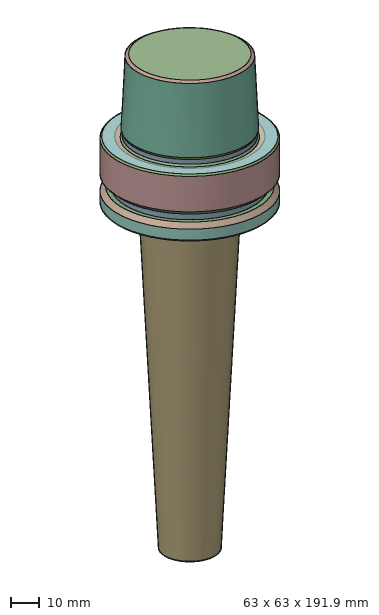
import cadquery as cq
import math


shank_length = 31.9
taper_ratio = 1 / 10
taper_base_radius = 24.15
taper_base_height = 3.1
tip_chamfer_width = 1.3
tip_chamfer_height = 0.7

neck_radius = 23.75
neck_height = 2.2
neck_flare_radius = 24.4
neck_flare_top = 0.4

recess_radius = 26.3
recess_depth = 0.35

flange_radius = 31.5
flange_height = 26.0
flange_chamfer = 0.65
groove_floor_radius = 27.6
groove_top = -16.2
groove_bottom = -19.3
groove_lip_width = 2.0
groove_lip_height = 1.8
groove_ledge_radius = flange_radius - groove_lip_width

nose_length = 160.0
nose_end_radius = 11.0
nose_half_angle = 3.0
nose_end_chamfer = 0.5
root_fillet = 3.0


def shank_outline(profile):
    """Run from the tip down to the recess in the contact face."""
    tip_height = shank_length - tip_chamfer_height
    tip_radius = taper_base_radius - (tip_height - taper_base_height) * taper_ratio / 2
    return (
        profile.lineTo(tip_radius - tip_chamfer_width, shank_length)
        .lineTo(tip_radius, tip_height)
        .lineTo(taper_base_radius, taper_base_height)
        .lineTo(neck_radius, neck_height)
        .lineTo(neck_radius, neck_flare_top)
        .lineTo(neck_flare_radius, -recess_depth)
        .lineTo(recess_radius, 0)
    )


def flange_outline(profile):
    """Run down the chamfered rim and through the gripper groove."""
    return (
        profile.lineTo(flange_radius - flange_chamfer, 0)
        .lineTo(flange_radius, -flange_chamfer)
        .lineTo(flange_radius, groove_top + groove_lip_height)
        .lineTo(groove_ledge_radius, groove_top)
        .lineTo(groove_floor_radius, groove_top)
        .lineTo(groove_floor_radius, groove_bottom)
        .lineTo(groove_ledge_radius, groove_bottom)
        .lineTo(flange_radius, groove_bottom - groove_lip_height)
        .lineTo(flange_radius, -flange_height + flange_chamfer)
        .lineTo(flange_radius - flange_chamfer, -flange_height)
    )


def nose_outline(profile):
    """Run from the flange underside through the root fillet and down the nose cone."""
    slope = math.radians(nose_half_angle)

    def cone_radius(z):
        return nose_end_radius + (z + nose_length) * math.tan(slope)

    center_z = -flange_height - root_fillet
    center_r = cone_radius(center_z) + root_fillet / math.cos(slope)
    middle_angle = (math.pi / 2 + slope) / 2
    fillet_middle = (
        center_r - root_fillet * math.cos(middle_angle),
        center_z + root_fillet * math.sin(middle_angle),
    )
    fillet_end = (
        center_r - root_fillet * math.cos(slope),
        center_z + root_fillet * math.sin(slope),
    )
    chamfer_top = -nose_length + nose_end_chamfer
    return (
        profile.lineTo(center_r, -flange_height)
        .threePointArc(fillet_middle, fillet_end)
        .lineTo(cone_radius(chamfer_top), chamfer_top)
        .lineTo(nose_end_radius - nose_end_chamfer, -nose_length)
        .lineTo(0, -nose_length)
    )


profile = cq.Workplane("XZ").moveTo(0, shank_length)
profile = shank_outline(profile)
profile = flange_outline(profile)
profile = nose_outline(profile)
result = profile.close().revolve(360, (0, 0, 0), (0, 1, 0))